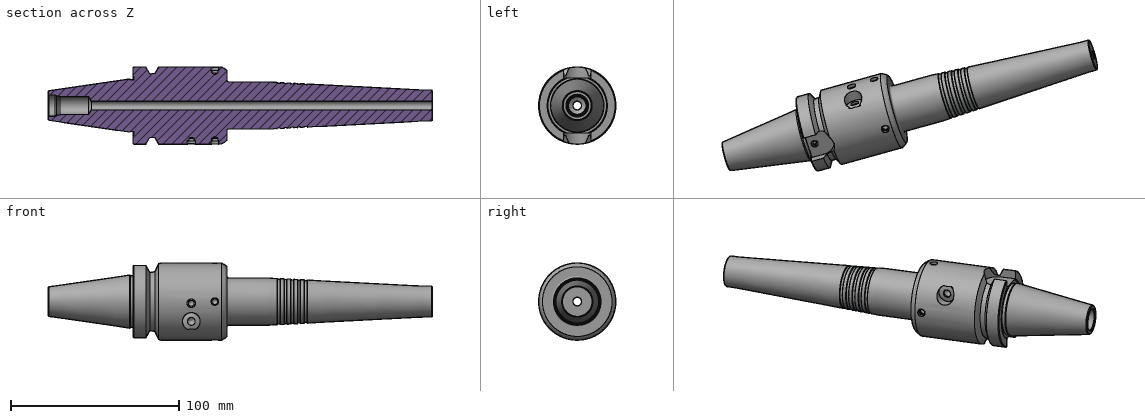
import cadquery as cq
import math


GAUGE_DIAMETER = 31.75
TAPER_RATIO = 7 / 24
TAPER_LENGTH = 48.4
REAR_CHAMFER = 0.5
RELIEF_DIAMETER = 31.0
RELIEF_BEVEL = 0.7

BODY_DIAMETER = 46.0
FLANGE_START = 2.0
FLANGE_CHAMFER = 0.5
FACE_RECESS_DIAMETER = 35.8
FACE_RECESS_DEPTH = 0.5
V_GROOVE_START = 9.75
V_GROOVE_END = 17.3
V_GROOVE_DIAMETER = 38.2
V_GROOVE_FLANK = math.radians(30)
BODY_END = 58.0
BODY_CHAMFER_LENGTH = 3.3
BODY_CHAMFER_DROP = 1.3
BODY_EDGE_BEVEL = 1.0

SHANK_DIAMETER = 28.2
SHANK_FILLET = 1.0
NOSE_TAPER_START = 82.8
NOSE_TAPER_ANGLE = math.radians(3)
TIP_LAND_START = 174.6
TIP_END = 180.0
TIP_CHAMFER = 0.5

RING_GROOVE_COUNT = 5
RING_GROOVE_START = 87.7
RING_GROOVE_PITCH = 4.0
RING_GROOVE_WIDTH = 2.0
RING_GROOVE_DEPTH = 0.4
RING_GROOVE_WALL_RUN = 0.3

BORE_STEPS = [(12.5, 4.0), (12.0, 5.0), (11.4, 6.0), (11.0, 7.0), (10.4, 24.0)]
BORE_MOUTH_CHAMFER = 0.5
COOLANT_DIAMETER = 5.0
DRILL_POINT_HALF_ANGLE = math.radians(59)

SLOT_WIDTH = 16.1
SLOT_FLOOR = 16.3
SLOT_END = 18.7

SLOT_SCREW_X = 6.75
SLOT_SCREW_DIAMETER = 4.1
SLOT_SCREW_DEPTH = 1.0
SLOT_SOCKET_DIAMETER = 2.31
BODY_SCREW_X = 50.7
BODY_SCREW_DIAMETER = 4.5
BODY_SCREW_DEPTH = 2.0
BODY_SOCKET_DIAMETER = 3.46
SOCKET_DEPTH = 1.5
VENT_X = 36.7
VENT_DIAMETER = 5.0
VENT_DEPTH = 2.0
VENT_BORE_DIAMETER = 3.4
VENT_Z = -1.0

CLAMP_X = 36.7
CLAMP_OFFSET = -11.8
CLAMP_DIAMETER = 10.5
CLAMP_FLOOR = 16.0
CLAMP_CONE_HEIGHT = 0.6
CLAMP_TOP_DIAMETER = 6.0
CLAMP_SOCKET_DIAMETER = 4.62

BODY_RADIUS = BODY_DIAMETER / 2
REAR = -TAPER_LENGTH


def nose_radius(x):
    return SHANK_DIAMETER / 2 - (x - NOSE_TAPER_START) * math.tan(NOSE_TAPER_ANGLE)


def revolve_about_x(profile):
    return profile.close().revolve(360, (0, 0, 0), (1, 0, 0))


def outer_body():
    gauge_radius = GAUGE_DIAMETER / 2
    rear_radius = gauge_radius - TAPER_LENGTH * TAPER_RATIO / 2
    relief_radius = RELIEF_DIAMETER / 2
    recess_radius = FACE_RECESS_DIAMETER / 2
    recess_floor = FLANGE_START + FACE_RECESS_DEPTH
    groove_radius = V_GROOVE_DIAMETER / 2
    flank_length = (BODY_RADIUS - groove_radius) * math.tan(V_GROOVE_FLANK)
    shank_radius = SHANK_DIAMETER / 2
    chamfer_radius = BODY_RADIUS - BODY_CHAMFER_DROP
    tip_radius = nose_radius(TIP_LAND_START)
    profile = (
        cq.Workplane("XY")
        .moveTo(REAR, 0)
        .lineTo(REAR, rear_radius - REAR_CHAMFER)
        .lineTo(REAR + REAR_CHAMFER, rear_radius + REAR_CHAMFER * TAPER_RATIO / 2)
        .lineTo(0, gauge_radius)
        .lineTo(RELIEF_BEVEL, relief_radius)
        .lineTo(recess_floor, relief_radius)
        .lineTo(recess_floor, recess_radius - FACE_RECESS_DEPTH)
        .lineTo(FLANGE_START, recess_radius)
        .lineTo(FLANGE_START, BODY_RADIUS - FLANGE_CHAMFER)
        .lineTo(FLANGE_START + FLANGE_CHAMFER, BODY_RADIUS)
        .lineTo(V_GROOVE_START, BODY_RADIUS)
        .lineTo(V_GROOVE_START + flank_length, groove_radius)
        .lineTo(V_GROOVE_END - flank_length, groove_radius)
        .lineTo(V_GROOVE_END, BODY_RADIUS)
        .lineTo(BODY_END - BODY_CHAMFER_LENGTH, BODY_RADIUS)
        .lineTo(BODY_END - BODY_EDGE_BEVEL, chamfer_radius)
        .lineTo(BODY_END, chamfer_radius - BODY_EDGE_BEVEL)
        .lineTo(BODY_END, shank_radius + SHANK_FILLET)
        .radiusArc((BODY_END + SHANK_FILLET, shank_radius), -SHANK_FILLET)
        .lineTo(NOSE_TAPER_START, shank_radius)
        .lineTo(TIP_LAND_START, tip_radius)
        .lineTo(TIP_END - TIP_CHAMFER, tip_radius)
        .lineTo(TIP_END, tip_radius - TIP_CHAMFER)
        .lineTo(TIP_END, 0)
    )
    return revolve_about_x(profile)


def ring_groove(start):
    end = start + RING_GROOVE_WIDTH
    floor_start = start + RING_GROOVE_WALL_RUN
    floor_end = end - RING_GROOVE_WALL_RUN
    outside = SHANK_DIAMETER / 2
    profile = (
        cq.Workplane("XY")
        .moveTo(floor_start, nose_radius(floor_start) - RING_GROOVE_DEPTH)
        .lineTo(start, nose_radius(start))
        .lineTo(start, outside)
        .lineTo(end, outside)
        .lineTo(end, nose_radius(end))
        .lineTo(floor_end, nose_radius(floor_end) - RING_GROOVE_DEPTH)
    )
    return revolve_about_x(profile)


def through_bore():
    coolant_radius = COOLANT_DIAMETER / 2
    mouth_radius = BORE_STEPS[0][0] / 2 + BORE_MOUTH_CHAMFER
    profile = cq.Workplane("XY").moveTo(REAR, 0).lineTo(REAR, mouth_radius)
    step_start = REAR + BORE_MOUTH_CHAMFER
    for diameter, depth in BORE_STEPS:
        profile = profile.lineTo(step_start, diameter / 2).lineTo(REAR + depth, diameter / 2)
        step_start = REAR + depth
    last_radius = BORE_STEPS[-1][0] / 2
    point_length = (last_radius - coolant_radius) / math.tan(DRILL_POINT_HALF_ANGLE)
    profile = (
        profile.lineTo(step_start + point_length, coolant_radius)
        .lineTo(TIP_END, coolant_radius)
        .lineTo(TIP_END, 0)
    )
    return revolve_about_x(profile)


def drive_slot():
    radius = SLOT_WIDTH / 2
    center_x = SLOT_END - radius
    height = BODY_RADIUS - SLOT_FLOOR
    floor = cq.Workplane("XY").workplane(offset=SLOT_FLOOR)
    straight = floor.center(center_x / 2, 0).rect(center_x, SLOT_WIDTH).extrude(height)
    return straight.union(floor.center(center_x, 0).circle(radius).extrude(height))


def pointed_hole(x, y, top, bottom, diameter):
    """Vertical hole ending in a drill point below `bottom`."""
    radius = diameter / 2
    point_depth = radius / math.tan(DRILL_POINT_HALF_ANGLE)
    return (
        cq.Workplane("XZ", origin=(x, y, 0))
        .moveTo(0, top)
        .lineTo(radius, top)
        .lineTo(radius, bottom)
        .lineTo(0, bottom - point_depth)
        .close()
        .revolve(360, (0, 0, 0), (0, 1, 0))
    )


def screw_recess(x, y, surface, diameter, depth, socket_diameter):
    """Vertical hole with a flat floor and a narrower pointed socket below the floor."""
    face = surface - depth
    hole = cq.Workplane("XY", origin=(x, y, face)).circle(diameter / 2).extrude(depth)
    return hole.union(pointed_hole(x, y, surface, face - SOCKET_DEPTH, socket_diameter))


def clamp_pocket():
    """Vertical pocket above the bevelled end of a clamping screw with a socket."""
    height = BODY_RADIUS - CLAMP_FLOOR
    screw_top = CLAMP_FLOOR + CLAMP_CONE_HEIGHT
    pocket = (
        cq.Workplane("XY", origin=(CLAMP_X, CLAMP_OFFSET, CLAMP_FLOOR))
        .circle(CLAMP_DIAMETER / 2)
        .extrude(height)
    )
    screw_end = cq.Workplane("XY").add(
        cq.Solid.makeCone(
            CLAMP_DIAMETER / 2,
            CLAMP_TOP_DIAMETER / 2,
            CLAMP_CONE_HEIGHT,
            pnt=cq.Vector(CLAMP_X, CLAMP_OFFSET, CLAMP_FLOOR),
        )
    )
    socket = pointed_hole(
        CLAMP_X, CLAMP_OFFSET, screw_top, screw_top - SOCKET_DEPTH, CLAMP_SOCKET_DIAMETER
    )
    return pocket.cut(screw_end).union(socket)


def turned(shape, angle):
    """Turn a shape about X; 90 degrees moves the +Z side to -Y."""
    return shape.rotate((0, 0, 0), (1, 0, 0), angle)


result = outer_body().cut(through_bore())

for index in range(RING_GROOVE_COUNT):
    result = result.cut(ring_groove(RING_GROOVE_START + index * RING_GROOVE_PITCH))

slot_screw = screw_recess(
    SLOT_SCREW_X, 0, SLOT_FLOOR, SLOT_SCREW_DIAMETER, SLOT_SCREW_DEPTH, SLOT_SOCKET_DIAMETER
)
for angle in (0, 180):
    result = result.cut(turned(drive_slot(), angle)).cut(turned(slot_screw, angle))

body_screw = screw_recess(
    BODY_SCREW_X, 0, BODY_RADIUS, BODY_SCREW_DIAMETER, BODY_SCREW_DEPTH, BODY_SOCKET_DIAMETER
)
for angle in (0, 90, 180, 270):
    result = result.cut(turned(body_screw, angle))

for angle in (90, 270):
    result = result.cut(turned(clamp_pocket(), angle))

vent = screw_recess(
    VENT_X, VENT_Z, BODY_RADIUS, VENT_DIAMETER, VENT_DEPTH, VENT_BORE_DIAMETER
)
result = result.cut(turned(vent, 90))